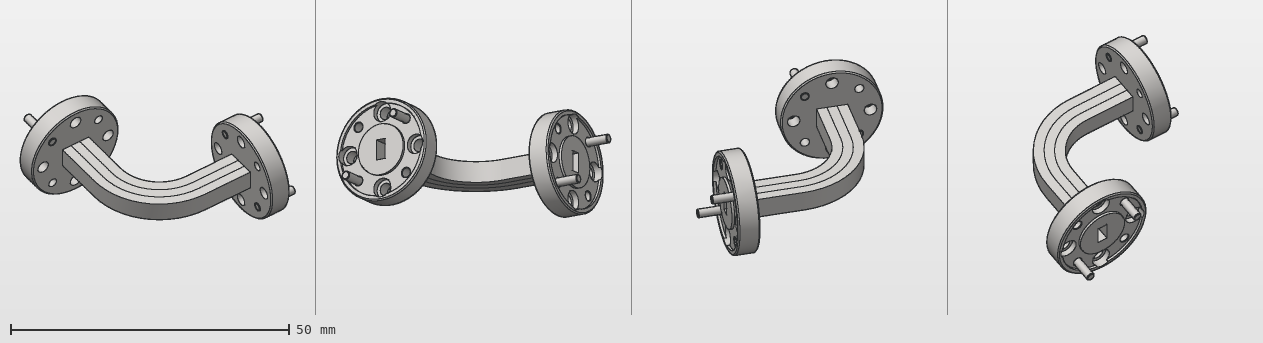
import cadquery as cq
import math

face_distance = 25.4
bend_radius = 11.43

tube_width = 5.79
tube_height = 3.91
channel_width = 1.88
channel_height = 3.76

flange_diameter = 19.05
flange_thickness = 4.06
flange_chamfer = 0.25
recess_inner_diameter = 9.53
recess_outer_diameter = 17.2
recess_depth = 0.5

bolt_circle_radius = 7.14
screw_hole_diameter = 2.3
counterbore_diameter = 3.6
counterbore_depth = 1.65
screw_angles = (0, 90, 180, 270)
alignment_hole_diameter = 1.7
hole_chamfer = 0.12
alignment_angles = (45, 225)

pin_diameter = 1.6
pin_protrusion = 3.875
pin_chamfer = 0.15
pin_angles = (135, 315)

end_turns = (0, -90)


def disc_plane(depth):
    """Plane parallel to the -X mating face, at a depth into the flange; local x is +Y, local y is +Z."""
    return cq.Workplane("YZ", origin=(depth - face_distance, 0, 0))


def bolt_circle_points(angles):
    """Points on the bolt circle, with angles measured from +Y towards +Z."""
    return [
        (
            bolt_circle_radius * math.cos(math.radians(angle)),
            bolt_circle_radius * math.sin(math.radians(angle)),
        )
        for angle in angles
    ]


def turn_to_end(shape, turn):
    return shape.rotate((0, 0, 0), (0, 0, 1), turn)


def bent_bar(width, height, start_depth):
    """Bar along the bent centre line, starting and ending at a depth behind the mating faces."""
    end = face_distance - start_depth
    half = width / 2
    diagonal = math.cos(math.radians(45))
    outer_mid = bend_radius - (bend_radius + half) * diagonal
    inner_mid = bend_radius - (bend_radius - half) * diagonal
    outline = (
        cq.Workplane("XY", origin=(0, 0, -height / 2))
        .moveTo(-end, -half)
        .lineTo(-bend_radius, -half)
        .threePointArc((-outer_mid, outer_mid), (half, bend_radius))
        .lineTo(half, end)
        .lineTo(-half, end)
        .lineTo(-half, bend_radius)
        .threePointArc((-inner_mid, inner_mid), (-bend_radius, half))
        .lineTo(-end, half)
        .close()
    )
    return outline.extrude(height)


def make_flange():
    """Flange on the -X end, with its mating face towards -X."""
    flange = (
        disc_plane(0)
        .circle(flange_diameter / 2)
        .extrude(flange_thickness)
        .edges()
        .chamfer(flange_chamfer)
    )
    recess = (
        disc_plane(0)
        .circle(recess_outer_diameter / 2)
        .circle(recess_inner_diameter / 2)
        .extrude(recess_depth)
    )
    screw_points = bolt_circle_points(screw_angles)
    screw_holes = (
        disc_plane(0)
        .pushPoints(screw_points)
        .circle(screw_hole_diameter / 2)
        .extrude(flange_thickness)
    )
    counterbores = (
        disc_plane(0)
        .pushPoints(screw_points)
        .circle(counterbore_diameter / 2)
        .extrude(counterbore_depth)
    )
    flange = flange.cut(recess).cut(screw_holes).cut(counterbores)
    flange = cut_chamfered_holes(flange, alignment_angles, alignment_hole_diameter)
    return cut_chamfered_holes(flange, pin_angles, pin_diameter)


def cut_chamfered_holes(flange, angles, diameter):
    """Through holes with a chamfer where they open into the recess floor."""
    points = bolt_circle_points(angles)
    radius = diameter / 2
    holes = disc_plane(0).pushPoints(points).circle(radius).extrude(flange_thickness)
    mouths = (
        disc_plane(recess_depth)
        .pushPoints(points)
        .circle(radius + hole_chamfer)
        .extrude(hole_chamfer, taper=45)
    )
    return flange.cut(holes).cut(mouths)


def make_housing():
    """Tube with a flange on each end and one open channel through everything."""
    housing = bent_bar(tube_width, tube_height, flange_thickness)
    flange = make_flange()
    for turn in end_turns:
        housing = housing.union(turn_to_end(flange, turn))
    return housing.cut(bent_bar(channel_width, channel_height, 0))


def make_pin(point):
    """Dowel pin in the -X flange, chamfered at both ends."""
    return (
        disc_plane(-pin_protrusion)
        .center(*point)
        .circle(pin_diameter / 2)
        .extrude(pin_protrusion + flange_thickness)
        .edges("%CIRCLE")
        .chamfer(pin_chamfer)
    )


housing = make_housing()
pins = [
    turn_to_end(make_pin(point), turn)
    for turn in end_turns
    for point in bolt_circle_points(pin_angles)
]

result = cq.Compound.makeCompound([housing.val(), *[pin.val() for pin in pins]])